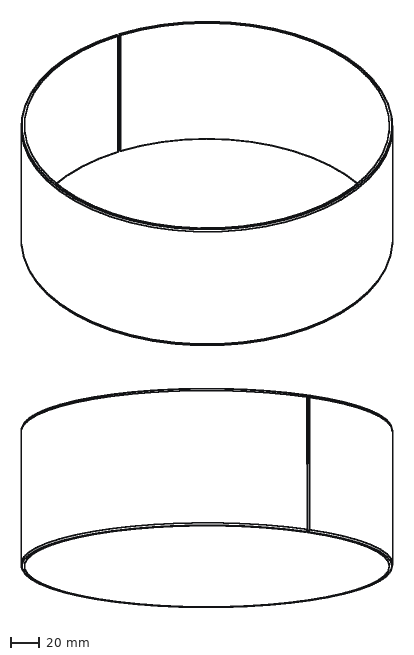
import cadquery as cq

outer_diameter = 265.0
height = 100.0
wall = 2.5
rim_chamfer_height = 1.5
rim_chamfer_depth = 0.5
slit_width = 2.0

outer_radius = outer_diameter / 2
inner_radius = outer_radius - wall
rim_radius = outer_radius - rim_chamfer_depth

wall_section = (
    cq.Workplane("XZ")
    .moveTo(inner_radius, 0)
    .lineTo(rim_radius, 0)
    .lineTo(outer_radius, rim_chamfer_height)
    .lineTo(outer_radius, height - rim_chamfer_height)
    .lineTo(rim_radius, height)
    .lineTo(inner_radius, height)
    .close()
)

ring = wall_section.revolve(360, (0, 0, 0), (0, 1, 0)).rotate((0, 0, 0), (0, 0, 1), 180)

slit_length = 4 * wall
slit = cq.Workplane("XY").box(slit_length, slit_width, height, centered=(True, False, False))

result = ring.cut(slit.translate((-outer_radius, 0, 0)))